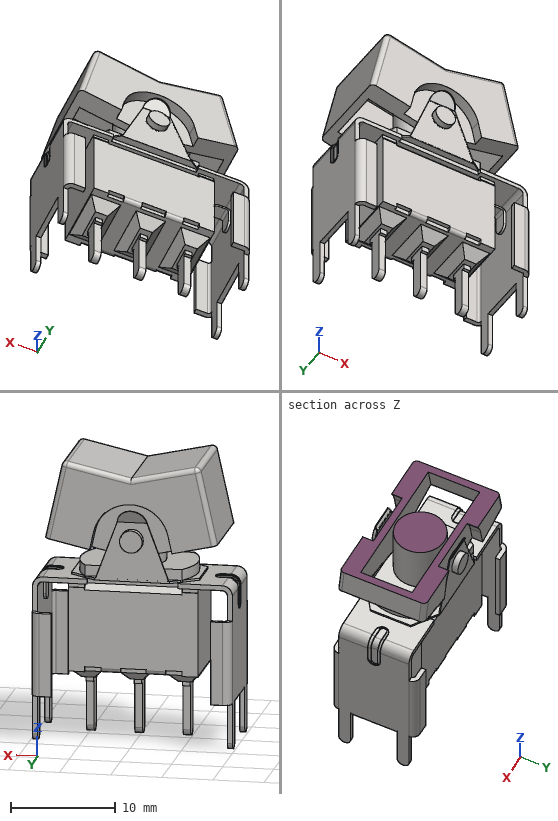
import cadquery as cq
import math


BRACKET_LENGTH = 19.56
BRACKET_WIDTH = 7.6
SHEET = 0.5
BEND_RADIUS = 1.0
LEG_BOTTOM = -11.7
PIN_BOTTOM = -16.3
PIN_WIDTH = 1.28
NOTCH_LENGTH = 8.92
WAIST_WIDTH = 6.6

WING_SPAN = 9.2
WING_REACH = 1.99
WING_TOP = -3.44
WING_BEND_RADIUS = 0.8

GROOVE_WIDTH = 0.75
BEAD_WIDTH = 1.35
BEAD_DEPTH = 0.25
MOUTH_DEPTH = 0.1
BEAD_BOTTOM = -3.14
BEAD_REACH = 2.35

BODY_LENGTH = 12.68
BODY_WIDTH = 6.8
BODY_BOTTOM = -9.33
RELIEF_LENGTH = 9.52
TOP_CHAMFER = 0.7
COVER_BOTTOM = -0.98
COVER_INSET = 0.1
FOOT_HEIGHT = 0.5
FOOT_DEPTH = 0.4
BAR_INNER = 1.26
BAR_OUTER = 3.14
BAR_RADIUS = 0.39
TERMINAL_PITCH = 4.72
TERMINAL_THICKNESS = 0.74
TERMINAL_WIDTH = 1.3
TERMINAL_BOTTOM = -16.0
SHOULDER_WIDTH = 1.9
SHOULDER_BOTTOM = -10.9
POTTING_BOTTOM = -10.33
POTTING_TOP_SIZE = (3.1, 5.2)
POTTING_BOTTOM_SIZE = (1.3, 3.1)

PLATE_THICKNESS = 0.2
PLATE_LENGTH = 12.5
PLATE_END_WIDTH = 4.34
EAR_SPAN = 7.94
EAR_THICKNESS = 0.12
EAR_BASE = 7.3
EAR_TOP = 2.9
EAR_TOP_Z = 5.89
EAR_TIP_Z = 7.19
EAR_TIP_LEAN = 0.755
DISC_DIAMETER = 11.54
DISC_WIDTH = 6.6
DISC_TOP = 1.27
NECK_DIAMETER = 5.2
PIVOT_DIAMETER = 2.2
PIVOT_LENGTH = 9.24
PIVOT_Z = 4.12

ROCKER_WIDTH = 9.34
ROCKER_HALF_LENGTH = 8.4
ROCKER_EDGE_Z = 4.14
ROCKER_VALLEY_Z = 10.37
ROCKER_TILT = math.radians(12.5)
ROCKER_FILLET = 0.5
CAVITY_WIDTH = 5.5
CAVITY_END_WALL = 0.8
CAVITY_ROOF = 1.5
NECK_TOP = 9.5
KEEL_Z = 2.42
ARCH_RADIUS = 3.73
ARCH_FLOOR_SPAN = 7.06


def box(x_range, y_range, z_range):
    """Axis-aligned box between the given limits."""
    (x0, x1), (y0, y1), (z0, z1) = x_range, y_range, z_range
    return cq.Workplane("XY").box(x1 - x0, y1 - y0, z1 - z0, centered=False).translate((x0, y0, z0))


def with_mirror(shape, plane):
    """The shape joined with its mirror image."""
    return shape.union(shape.mirror(plane))


def centred_prism(profile, width):
    """Extrude an XZ profile equally to both sides of Y = 0."""
    return profile.extrude(width / 2, both=True)


def channel(inset, width):
    """Solid under the bracket's outer surface, inset by a given depth."""
    half = BRACKET_LENGTH / 2 - inset
    block = box((-half, half), (-width / 2, width / 2), (LEG_BOTTOM, -inset))
    return block.edges("|Y and >Z").fillet(BEND_RADIUS - inset)


def round_ended_blade(width, top, bottom):
    """YZ outline of a strip with a half-round lower end."""
    half = width / 2
    return (
        cq.Workplane("YZ")
        .moveTo(-half, top)
        .lineTo(-half, bottom + half)
        .threePointArc((0, bottom), (half, bottom + half))
        .lineTo(half, top)
        .close()
    )


def bead_region(width):
    """L-shaped zone of one bead: down the left leg and along the top, with round ends."""
    outer = -BRACKET_LENGTH / 2
    corner = outer + BEND_RADIUS
    upright = round_ended_blade(width, 0, BEAD_BOTTOM).extrude(BEND_RADIUS).translate((outer, 0, 0))
    end_centre = outer + BEAD_REACH - width / 2
    flat = box((corner, end_centre), (-width / 2, width / 2), (-BEND_RADIUS, 0))
    end = cq.Workplane("XY").center(end_centre, 0).circle(width / 2).extrude(-BEND_RADIUS)
    return upright.union(flat).union(end)


def bead_layer(inset, depth, width):
    """Both beads as a layer of the given depth that starts at an inset from the outer surface."""
    layer = channel(inset, BEAD_WIDTH).cut(channel(inset + depth, BEAD_WIDTH))
    return with_mirror(layer.intersect(bead_region(width)), "YZ")


def make_wing():
    """Folded flange on the front edge of the left leg."""
    x0 = -BRACKET_LENGTH / 2
    x1 = x0 + WING_REACH
    y0 = -WING_SPAN / 2
    z_range = (LEG_BOTTOM, WING_TOP)
    outer = box((x0, x1), (y0, 0), z_range).edges("|Z and <X and <Y").fillet(WING_BEND_RADIUS)
    inner = box((x0 + SHEET, x1), (y0 + SHEET, 0), z_range)
    inner = inner.edges("|Z and <X and <Y").fillet(WING_BEND_RADIUS - SHEET)
    return outer.cut(inner)


def make_bracket():
    bracket = channel(0, BRACKET_WIDTH).cut(channel(SHEET, BRACKET_WIDTH))
    notch = box(
        (-NOTCH_LENGTH / 2, NOTCH_LENGTH / 2),
        (-BRACKET_WIDTH / 2, -WAIST_WIDTH / 2),
        (-SHEET, 0),
    )
    bracket = bracket.cut(with_mirror(notch, "XZ"))

    pin = round_ended_blade(PIN_WIDTH, LEG_BOTTOM, PIN_BOTTOM).extrude(SHEET)
    pin = pin.translate((-BRACKET_LENGTH / 2, (PIN_WIDTH - BRACKET_WIDTH) / 2, 0))
    side = with_mirror(pin.union(make_wing()), "XZ")
    bracket = bracket.union(with_mirror(side, "YZ"))

    bracket = bracket.union(bead_layer(SHEET, BEAD_DEPTH, BEAD_WIDTH))
    bracket = bracket.cut(bead_layer(0, BEAD_DEPTH, GROOVE_WIDTH))
    return bracket.cut(bead_layer(0, MOUTH_DEPTH, BEAD_WIDTH))


def make_body():
    half_length = BODY_LENGTH / 2
    half_relief = RELIEF_LENGTH / 2
    front = -BODY_WIDTH / 2
    body = box((-half_length, half_length), (front, -front), (BODY_BOTTOM, -SHEET))

    corner_z = -SHEET - TOP_CHAMFER
    bevel = cq.Workplane("YZ").polyline([(front, corner_z), (front + TOP_CHAMFER, -SHEET), (front, -SHEET)])
    bevel = bevel.close().extrude(half_relief, both=True)

    cover = box((half_relief, half_length), (front, front + COVER_INSET), (COVER_BOTTOM, -SHEET))
    foot_top = BODY_BOTTOM + FOOT_HEIGHT
    foot = box((-half_relief, half_relief), (front, front + FOOT_DEPTH), (BODY_BOTTOM, foot_top))
    bar = box((BAR_INNER, BAR_OUTER), (front, front + FOOT_DEPTH), (BODY_BOTTOM, foot_top))
    bar = bar.edges("|X and <Y and <Z").fillet(BAR_RADIUS)

    cutter = bevel.union(with_mirror(cover, "YZ")).union(foot.cut(with_mirror(bar, "YZ")))
    return body.cut(with_mirror(cutter, "XZ"))


def make_terminal():
    blade = round_ended_blade(TERMINAL_WIDTH, BODY_BOTTOM, TERMINAL_BOTTOM)
    blade = blade.extrude(TERMINAL_THICKNESS / 2, both=True)
    potting = (
        cq.Workplane("XY", origin=(0, 0, BODY_BOTTOM))
        .rect(*POTTING_TOP_SIZE)
        .workplane(offset=POTTING_BOTTOM - BODY_BOTTOM)
        .rect(*POTTING_BOTTOM_SIZE)
        .loft()
    )
    half_thickness = TERMINAL_THICKNESS / 2
    half_shoulder = SHOULDER_WIDTH / 2
    shoulder = box(
        (-half_thickness, half_thickness),
        (-half_shoulder, half_shoulder),
        (SHOULDER_BOTTOM, BODY_BOTTOM),
    )
    return blade.union(potting).union(shoulder)


def make_ear():
    """Front ear: a trapezoid whose rounded tip leans outward."""
    outer = -EAR_SPAN / 2
    half_base = EAR_BASE / 2
    half_top = EAR_TOP / 2
    plate = (
        cq.Workplane("XZ", origin=(0, outer, 0))
        .polyline([(-half_base, 0), (-half_top, EAR_TOP_Z), (half_top, EAR_TOP_Z), (half_base, 0)])
        .close()
        .extrude(-EAR_THICKNESS)
    )
    inner = outer + EAR_THICKNESS
    tip = cq.Workplane("YZ").polyline(
        [
            (outer, EAR_TOP_Z),
            (outer - EAR_TIP_LEAN, EAR_TIP_Z),
            (inner - EAR_TIP_LEAN, EAR_TIP_Z),
            (inner, EAR_TOP_Z),
        ]
    )
    tip = tip.close().extrude(half_top, both=True)
    outline = (
        cq.Workplane("XZ")
        .moveTo(-half_top, EAR_TOP_Z)
        .threePointArc((0, EAR_TIP_Z), (half_top, EAR_TOP_Z))
        .close()
    )
    return plate.union(tip.intersect(centred_prism(outline, 2 * EAR_SPAN)))


def make_pivot_mount():
    half_length = PLATE_LENGTH / 2
    half_end = PLATE_END_WIDTH / 2
    half_base = EAR_BASE / 2
    half_span = EAR_SPAN / 2
    plate = cq.Workplane("XY").polyline(
        [
            (-half_length, -half_end),
            (-half_base, -half_span),
            (half_base, -half_span),
            (half_length, -half_end),
            (half_length, half_end),
            (half_base, half_span),
            (-half_base, half_span),
            (-half_length, half_end),
        ]
    )
    plate = plate.close().extrude(PLATE_THICKNESS)

    disc = cq.Workplane("XY").circle(DISC_DIAMETER / 2).extrude(DISC_TOP)
    disc = disc.intersect(cq.Workplane("XY").box(DISC_DIAMETER, DISC_WIDTH, 2 * DISC_TOP))
    neck = cq.Workplane("XY").circle(NECK_DIAMETER / 2).extrude(NECK_TOP)
    pivot_start = -(CAVITY_WIDTH + ARCH_FLOOR_SPAN) / 4
    pivot = cq.Workplane("XZ", origin=(0, pivot_start, PIVOT_Z)).circle(PIVOT_DIAMETER / 2)
    pivot = pivot.extrude(PIVOT_LENGTH / 2 + pivot_start)
    return plate.union(disc).union(neck).union(with_mirror(make_ear().union(pivot), "XZ"))


def rocker_profile(end_wall, roof):
    """XZ outline of the rocker, with its ends and top moved inward by the given thicknesses."""
    slope = math.tan(ROCKER_TILT)
    vertical_roof = roof / math.cos(ROCKER_TILT)
    half = ROCKER_HALF_LENGTH - end_wall
    edge_z = ROCKER_EDGE_Z - slope * end_wall
    valley_z = ROCKER_VALLEY_Z - vertical_roof
    peak_z = (valley_z + slope * half + slope**2 * edge_z) / (1 + slope**2)
    peak_x = half - slope * (peak_z - edge_z)
    keel_z = edge_z - slope * half
    return (
        cq.Workplane("XZ")
        .moveTo(0, keel_z)
        .lineTo(half, edge_z)
        .lineTo(peak_x, peak_z)
        .lineTo(0, valley_z)
        .lineTo(-peak_x, peak_z)
        .lineTo(-half, edge_z)
        .close()
    )


def make_arch_recess():
    """Arched recess in the front wall of the rocker that gives the ear room to swing."""
    tangent_x = ARCH_RADIUS * math.cos(ROCKER_TILT)
    tangent_z = PIVOT_Z + ARCH_RADIUS * math.sin(ROCKER_TILT)
    foot_x = tangent_x + tangent_z * math.tan(ROCKER_TILT)
    depth = (ROCKER_WIDTH - ARCH_FLOOR_SPAN) / 2
    return (
        cq.Workplane("XZ", origin=(0, -ROCKER_WIDTH / 2, 0))
        .moveTo(-foot_x, 0)
        .lineTo(-tangent_x, tangent_z)
        .threePointArc((0, PIVOT_Z + ARCH_RADIUS), (tangent_x, tangent_z))
        .lineTo(foot_x, 0)
        .close()
        .extrude(-depth)
    )


def make_rocker():
    rocker = centred_prism(rocker_profile(0, 0), ROCKER_WIDTH)
    rounded_edges = rocker.edges(">Z or (not |Y)")
    upper_edges = cq.selectors.BoxSelector(
        (-ROCKER_HALF_LENGTH, -ROCKER_WIDTH, ROCKER_EDGE_Z + ROCKER_FILLET),
        (ROCKER_HALF_LENGTH, ROCKER_WIDTH, 2 * ROCKER_VALLEY_Z),
    )
    rocker = rounded_edges.edges(upper_edges).fillet(ROCKER_FILLET)
    cavity = centred_prism(rocker_profile(CAVITY_END_WALL, CAVITY_ROOF), CAVITY_WIDTH)
    rocker = rocker.cut(cavity).cut(with_mirror(make_arch_recess(), "XZ"))
    keel = box((-ARCH_RADIUS, ARCH_RADIUS), (-ROCKER_WIDTH, ROCKER_WIDTH), (0, KEEL_Z))
    return rocker.cut(keel)


result = make_bracket().union(make_body())
for index in (-1, 0, 1):
    result = result.union(make_terminal().translate((index * TERMINAL_PITCH, 0, 0)))
result = result.union(make_rocker()).union(make_pivot_mount())